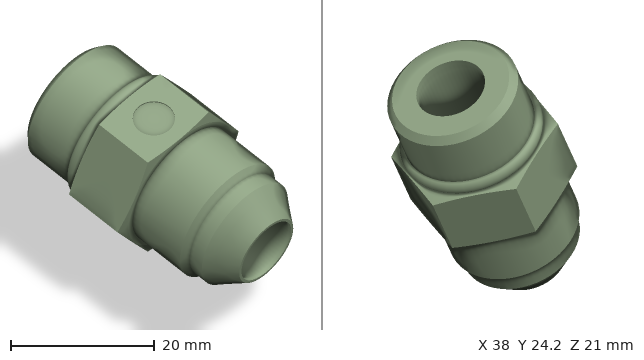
import cadquery as cq
import math

stud_end = 0.0
hex_start = 11.1
hex_end = 21.3
neck_start = 31.4
nose_start = 33.8
nose_end = 38.0

thread_radius = 19.05 / 2
stud_chamfer = 1.0
neck_radius = 17.18 / 2
thread_chamfer = thread_radius - neck_radius
nose_tip_radius = 10.8 / 2

hex_sides = 6
hex_across_flats = 21.0
hex_circumradius = hex_across_flats / 2 / math.cos(math.pi / hex_sides)
hex_chamfer_radius = 20.8 / 2
hex_chamfer_length = 0.4

ring_section_radius = 2.21 / 2
ring_outer_radius = 20.78 / 2
ring_center_radius = ring_outer_radius - ring_section_radius
ring_center_x = hex_start - ring_section_radius

stud_bore_radius = 10.0 / 2
nose_bore_radius = 9.93 / 2

recess_radius = 5.88 / 2
recess_depth = 0.2
recess_center_x = (hex_start + hex_end) / 2


def revolve_about_x(profile):
    """Turn a closed XY profile a full revolution about the X axis."""
    return profile.close().revolve(360, (0, 0, 0), (1, 0, 0))


def make_turned_body():
    """Stud, shank, neck and conical nose as one solid of revolution."""
    profile = (
        cq.Workplane("XY")
        .moveTo(stud_end, 0)
        .lineTo(stud_end, thread_radius - stud_chamfer)
        .lineTo(stud_end + stud_chamfer, thread_radius)
        .lineTo(neck_start - thread_chamfer, thread_radius)
        .lineTo(neck_start, neck_radius)
        .lineTo(nose_start, neck_radius)
        .lineTo(nose_end, nose_tip_radius)
        .lineTo(nose_end, 0)
    )
    return revolve_about_x(profile)


def make_hexagon():
    """Hexagon with flats at the top and bottom and conically chamfered corners."""
    prism = (
        cq.Workplane("YZ")
        .workplane(offset=hex_start)
        .polygon(hex_sides, 2 * hex_circumradius)
        .extrude(hex_end - hex_start)
    )
    chamfer_envelope = revolve_about_x(
        cq.Workplane("XY")
        .moveTo(hex_start, 0)
        .lineTo(hex_start, hex_chamfer_radius)
        .lineTo(hex_start + hex_chamfer_length, hex_circumradius)
        .lineTo(hex_end - hex_chamfer_length, hex_circumradius)
        .lineTo(hex_end, hex_chamfer_radius)
        .lineTo(hex_end, 0)
    )
    return prism.intersect(chamfer_envelope)


def make_o_ring():
    """Round-section seal ring, tangent to the stud-side face of the hexagon."""
    section = cq.Workplane("XY").center(ring_center_x, ring_center_radius).circle(ring_section_radius)
    return section.revolve(360, (0, -ring_center_radius, 0), (1, -ring_center_radius, 0))


def make_bore():
    """Through bore that steps down at the stud-side face of the hexagon."""
    stud_bore = cq.Workplane("YZ").circle(stud_bore_radius).extrude(hex_start)
    nose_bore = cq.Workplane("YZ").circle(nose_bore_radius).extrude(nose_end)
    return stud_bore.union(nose_bore)


def make_recess():
    """Shallow round recess in the middle of the top flat."""
    return (
        cq.Workplane("XY")
        .workplane(offset=hex_across_flats / 2 - recess_depth)
        .center(recess_center_x, 0)
        .circle(recess_radius)
        .extrude(recess_depth)
    )


body = make_turned_body().union(make_hexagon()).union(make_o_ring())
result = body.cut(make_bore()).cut(make_recess())